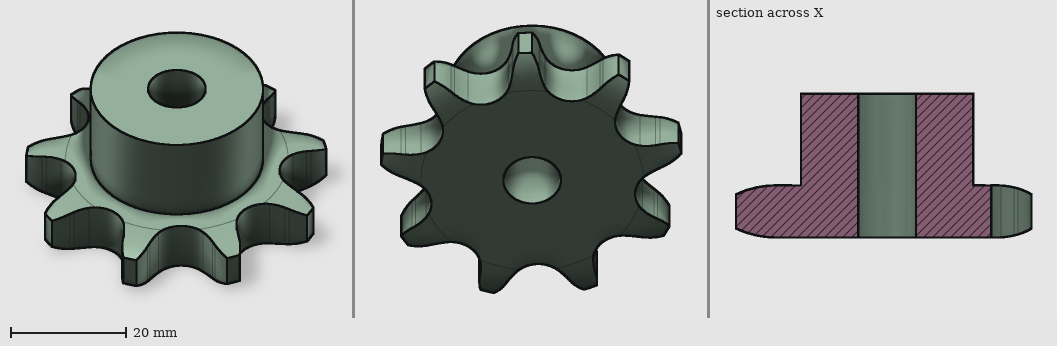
import cadquery as cq
import math


tooth_count = 9
chain_pitch = 15.875
roller_diameter = 10.16

tooth_width = 9.1
tip_radius = 26.3
side_relief_depth = 1.6
side_relief_radius = 16.0
hub_diameter = 30.0
bore_diameter = 10.0
total_height = 25.0

half_pitch_angle = 180.0 / tooth_count
tooth_pitch_angle = 2 * half_pitch_angle
pitch_radius = chain_pitch / 2 / math.sin(math.radians(half_pitch_angle))
seating_radius = (1.005 * roller_diameter + 0.076) / 2
seating_end_angle = 35.0 + 60.0 / tooth_count
working_arc_angle = 18.0 - 56.0 / tooth_count
flank_center_distance = 0.8 * roller_diameter
flank_radius = flank_center_distance + seating_radius
topping_center_distance = 1.4 * roller_diameter


def polar(radius, angle):
    """Point at a radius and an angle in degrees from the origin."""
    return (radius * math.cos(math.radians(angle)), radius * math.sin(math.radians(angle)))


def offset(point, radius, angle):
    """Point at a radius and an angle in degrees from another point."""
    dx, dy = polar(radius, angle)
    return (point[0] + dx, point[1] + dy)


def rotate(point, angle):
    """Point turned about the origin by an angle in degrees."""
    return polar(math.hypot(*point), math.degrees(math.atan2(point[1], point[0])) + angle)


def flank_points():
    """Points up the left flank of a gap centred on +Y, from its root to the tooth tip.

    A seating arc, a concave working arc, a short straight and a convex topping arc
    follow each other tangentially.
    """
    seat_center = (0.0, pitch_radius)
    straight_normal = seating_end_angle - working_arc_angle
    working_center = offset(seat_center, flank_center_distance, seating_end_angle)
    topping_center = offset(seat_center, topping_center_distance, 180.0 + half_pitch_angle)

    normal_x, normal_y = polar(1.0, straight_normal)
    center_gap = (
        (working_center[0] - topping_center[0]) * normal_x
        + (working_center[1] - topping_center[1]) * normal_y
    )
    topping_radius = center_gap - flank_radius

    root = (0.0, pitch_radius - seating_radius)
    seating_end = offset(seat_center, seating_radius, 180.0 + seating_end_angle)
    working_mid = offset(working_center, flank_radius, 180.0 + straight_normal + working_arc_angle / 2)
    working_end = offset(working_center, flank_radius, 180.0 + straight_normal)
    topping_start = offset(topping_center, topping_radius, straight_normal)

    center_radius = math.hypot(*topping_center)
    center_direction = math.degrees(math.atan2(topping_center[1], topping_center[0]))
    tip_swing = math.degrees(math.acos(
        (tip_radius**2 + center_radius**2 - topping_radius**2) / (2 * tip_radius * center_radius)
    ))
    tip = polar(tip_radius, center_direction - tip_swing)
    tip_direction = math.degrees(math.atan2(tip[1] - topping_center[1], tip[0] - topping_center[0]))
    topping_mid = offset(topping_center, topping_radius, (straight_normal + tip_direction) / 2)

    return root, seating_end, working_mid, working_end, topping_start, topping_mid, tip


def toothed_plate():
    """Flat plate with all the teeth, one gap centred on +Y."""
    left_flank = flank_points()
    right_flank = [(-x, y) for x, y in left_flank]
    root, l_seat, l_work_mid, l_work, l_top_start, l_top_mid, l_tip = left_flank
    _, r_seat, r_work_mid, r_work, r_top_start, r_top_mid, r_tip = right_flank
    tooth_crest = polar(tip_radius, 90.0 + half_pitch_angle)
    next_tip = rotate(r_tip, tooth_pitch_angle)

    outline = cq.Workplane("XY").moveTo(*r_tip)
    for gap in range(tooth_count):
        turn = gap * tooth_pitch_angle

        def at(point):
            return rotate(point, turn)

        outline = (
            outline.threePointArc(at(r_top_mid), at(r_top_start))
            .lineTo(*at(r_work))
            .threePointArc(at(r_work_mid), at(r_seat))
            .threePointArc(at(root), at(l_seat))
            .threePointArc(at(l_work_mid), at(l_work))
            .lineTo(*at(l_top_start))
            .threePointArc(at(l_top_mid), at(l_tip))
            .threePointArc(at(tooth_crest), at(next_tip))
        )
    return outline.close().extrude(tooth_width)


def relief_envelope():
    """Disc whose rim is rounded on both faces, tangent to the faces."""
    relief_length = math.sqrt(side_relief_radius**2 - (side_relief_radius - side_relief_depth) ** 2)
    start_radius = tip_radius - relief_length
    half_sweep = math.asin(relief_length / side_relief_radius) / 2
    mid_radius = start_radius + side_relief_radius * math.sin(half_sweep)
    mid_drop = side_relief_radius * (1 - math.cos(half_sweep))
    return (
        cq.Workplane("XZ")
        .lineTo(start_radius, 0)
        .threePointArc((mid_radius, mid_drop), (tip_radius, side_relief_depth))
        .lineTo(tip_radius, tooth_width - side_relief_depth)
        .threePointArc((mid_radius, tooth_width - mid_drop), (start_radius, tooth_width))
        .lineTo(0, tooth_width)
        .close()
        .revolve(360, (0, 0), (0, 1))
    )


def hub():
    """Cylinder from the base to the full height."""
    return cq.Workplane("XY").circle(hub_diameter / 2).extrude(total_height)


def bore():
    """Cutter for the plain through bore."""
    return cq.Workplane("XY").circle(bore_diameter / 2).extrude(total_height)


result = toothed_plate().intersect(relief_envelope()).union(hub()).cut(bore())